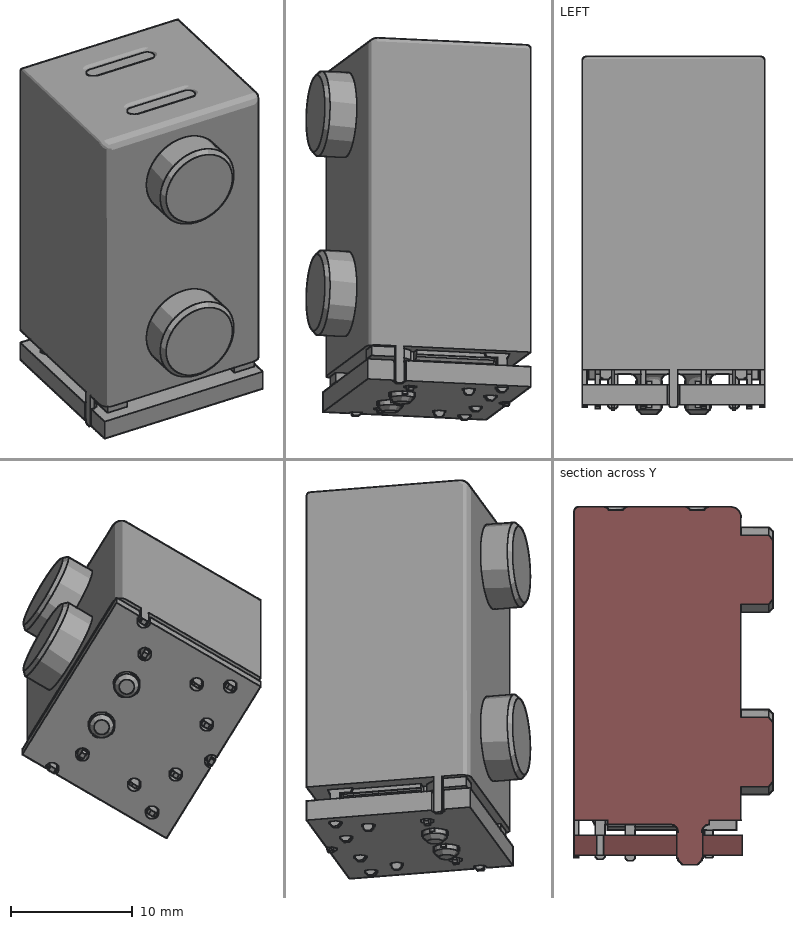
import cadquery as cq
import math

OVERALL_LENGTH = 16.38
OVERALL_HEIGHT = 29.45
WIDTH = 15.05

HOUSING_LENGTH = 13.75
HOUSING_BOTTOM = 3.65
FRONT_FILLET = 0.85
TOP_FILLET = 0.4

BUSHING_DIAMETER = 7.0
BUSHING_CHAMFER = 0.35
UPPER_BUSHING_Z = 24.28
BUSHING_SPACING = 15.0

SLOT_WIDTH = 2.0
SLOT_WALL_WIDTH = 1.1
SLOT_DEPTH = 0.27
SLOT_STRAIGHT = 5.13
SLOT_X_POSITIONS = (3.45, 10.13)

BOARD_LENGTH = 13.85
BOARD_BOTTOM = 0.77
BOARD_THICKNESS = 1.68
NOTCH_DIAMETER = 1.1
NOTCH_INSET = 0.2
PIN_HOLE_DIAMETER = 1.1

LEG_WIDTH = 0.7
LEG_THICKNESS = 0.4
LEG_BOTTOM = 0.55
LEG_CHAMFER = 0.12
SIDE_LEG_X = 11.1

POST_X = 9.55
POST_Y = 2.0
POST_DIAMETER = 2.0
POST_TIP_DIAMETER = 1.25
POST_FLARE_RADIUS = 0.6
RIB_DIAMETER = 2.18
RIB_WIDTH = 0.4
RIB_BOTTOM = 0.53
RIB_TOP = 2.7

BASE_BOTTOM = 3.3
BASE_X_START = 2.75
BASE_X_END = 11.15
BASE_WIDTH = 9.72
RAIL_BOTTOM = 2.85
RAIL_X_END = 9.35
RAIL_Y_INNER = 5.1
RAIL_Y_OUTER = 6.05
RAIL_CHAMFER = 0.27
LEDGE_Y_OUTER = 6.15
FOOT_X_START = 9.75
FOOT_X_END = 13.37
FOOT_Y_OUTER = 6.98
FOOT_CHAMFER = 1.15

PIN_WIDTH = 0.82
PIN_THICKNESS = 0.4
THIN_PIN_THICKNESS = 0.25
PIN_BOTTOM = 0.45
LONG_PIN_BOTTOM = 0.32
PIN_TAPER = 0.2
REAR_PIN_X = 2.15
OUTER_PIN_Y = 6.25
INNER_PIN_Y = 2.47
MIDDLE_PIN_X = 4.63
FRONT_PIN_X = 9.6
SIDE_PIN_Y = 4.98
SHOULDER_X_START = 1.53
SHOULDER_X_END = 3.62
SHOULDER_STEP = 0.15

SIDES = (-1, 1)
BOARD_TOP = BOARD_BOTTOM + BOARD_THICKNESS
PIN_POINTS = [
    (x, side * y)
    for side in SIDES
    for x, y in (
        (REAR_PIN_X, OUTER_PIN_Y),
        (REAR_PIN_X, INNER_PIN_Y),
        (MIDDLE_PIN_X, SIDE_PIN_Y),
        (FRONT_PIN_X, SIDE_PIN_Y),
    )
]
POST_POINTS = [(POST_X, side * POST_Y) for side in SIDES]
NOTCH_POINTS = [(NOTCH_INSET, 0)] + [(SIDE_LEG_X, side * (WIDTH / 2 - NOTCH_INSET)) for side in SIDES]


def block(x_range, y_range, z_range):
    """Axis-aligned box given by its limits along X, Y and Z."""
    (x0, x1), (y0, y1), (z0, z1) = x_range, y_range, z_range
    return cq.Workplane("XY").box(x1 - x0, y1 - y0, z1 - z0, centered=False).translate((x0, y0, z0))


def make_shell():
    """Main block: large rounds around the front face, small rounds on the other top edges."""
    half = WIDTH / 2
    shell = block((0, HOUSING_LENGTH), (-half, half), (HOUSING_BOTTOM, OVERALL_HEIGHT))
    shell = shell.faces(">X").edges("not <Z").fillet(FRONT_FILLET)
    return shell.faces(">Z").edges("not >X").fillet(TOP_FILLET)


def make_bushing(z):
    """Cylinder on the front face with a chamfered rim."""
    return (
        cq.Workplane("YZ", origin=(HOUSING_LENGTH, 0, z))
        .circle(BUSHING_DIAMETER / 2)
        .extrude(OVERALL_LENGTH - HOUSING_LENGTH)
        .faces(">X")
        .chamfer(BUSHING_CHAMFER)
    )


def slot_half_section():
    """Half of the slot section: flat floor and a wall that rounds over convexly into the top face."""
    rim = SLOT_WIDTH / 2
    radius = (SLOT_WIDTH - SLOT_WALL_WIDTH) / 2
    wall_angle = math.acos((radius - SLOT_DEPTH) / radius)
    floor = rim - radius * math.sin(wall_angle)
    wall_middle = (
        rim - radius * math.sin(wall_angle / 2),
        -radius * (1 - math.cos(wall_angle / 2)),
    )
    return (
        cq.Workplane("XZ")
        .moveTo(0, -SLOT_DEPTH)
        .lineTo(floor, -SLOT_DEPTH)
        .threePointArc(wall_middle, (rim, 0))
        .lineTo(0, 0)
        .close()
    )


def make_slot_cutter(x):
    """Shallow slot along Y with round ends."""
    half_channel = slot_half_section().extrude(SLOT_STRAIGHT / 2, both=True)
    round_end = slot_half_section().revolve(360, (0, 0), (0, 1))
    cutter = half_channel.union(half_channel.mirror("YZ"))
    for side in SIDES:
        cutter = cutter.union(round_end.translate((0, side * SLOT_STRAIGHT / 2, 0)))
    return cutter.translate((x, 0, OVERALL_HEIGHT))


def make_leg():
    """Leg standing against the plane X = 0, with its two lower corners cut off."""
    leg = block((0, LEG_THICKNESS), (-LEG_WIDTH / 2, LEG_WIDTH / 2), (LEG_BOTTOM, HOUSING_BOTTOM))
    return leg.faces("<Z").edges("|X").chamfer(LEG_CHAMFER)


def make_legs():
    """One leg on the rear face and one on each side face."""
    legs = make_leg()
    for side in SIDES:
        turned = make_leg().rotate((0, 0, 0), (0, 0, 1), -90 * side)
        legs = legs.union(turned.translate((SIDE_LEG_X, side * WIDTH / 2, 0)))
    return legs


def make_post(x, y):
    """Round post with a conical tip, a flared root and four crush ribs."""
    radius = POST_DIAMETER / 2
    tip_radius = POST_TIP_DIAMETER / 2
    flare = POST_FLARE_RADIUS
    flare_mid = flare * (1 - math.sqrt(0.5))
    post = (
        cq.Workplane("XZ")
        .lineTo(tip_radius, 0)
        .lineTo(radius, radius - tip_radius)
        .lineTo(radius, BASE_BOTTOM - flare)
        .threePointArc((radius + flare_mid, BASE_BOTTOM - flare_mid), (radius + flare, BASE_BOTTOM))
        .lineTo(0, BASE_BOTTOM)
        .close()
        .revolve(360, (0, 0), (0, 1))
    )
    rib_base = cq.Workplane("XY", origin=(0, 0, RIB_BOTTOM))
    rib_zone = rib_base.circle(RIB_DIAMETER / 2).extrude(RIB_TOP - RIB_BOTTOM)
    cross = rib_base.rect(RIB_DIAMETER, RIB_WIDTH).extrude(RIB_TOP - RIB_BOTTOM)
    cross = cross.union(cross.rotate((0, 0, 0), (0, 0, 1), 90))
    return post.union(rib_zone.intersect(cross)).translate((x, y, 0))


def make_support():
    """Rail, the ledge it hangs from and the foot in front of it, on the +Y side."""
    rail = block((BASE_X_START, RAIL_X_END), (RAIL_Y_INNER, RAIL_Y_OUTER), (RAIL_BOTTOM, HOUSING_BOTTOM))
    rail = rail.faces("<Z").edges("|X").chamfer(RAIL_CHAMFER)
    ledge = block((BASE_X_START, RAIL_X_END), (RAIL_Y_INNER, LEDGE_Y_OUTER), (BASE_BOTTOM, HOUSING_BOTTOM))
    foot = block((FOOT_X_START, FOOT_X_END), (RAIL_Y_INNER, FOOT_Y_OUTER), (RAIL_BOTTOM, HOUSING_BOTTOM))
    foot = foot.edges("|Z and <X and >Y").chamfer(FOOT_CHAMFER)
    return rail.union(ledge).union(foot)


def make_base():
    """Plate under the housing, with a rail and a front foot along each side."""
    base = block((BASE_X_START, BASE_X_END), (-BASE_WIDTH / 2, BASE_WIDTH / 2), (BASE_BOTTOM, HOUSING_BOTTOM))
    support = make_support()
    return base.union(support).union(support.mirror("XZ"))


def make_pin(x, y, thickness, bottom, turn=0):
    """Flat pin, wide along X before the turn about Z, with its tip tapered in width."""
    pin = (
        cq.Workplane("XY")
        .box(PIN_WIDTH, thickness, HOUSING_BOTTOM - bottom, centered=(True, True, False))
        .faces("<Z")
        .edges("|Y")
        .chamfer(PIN_TAPER)
    )
    return pin.rotate((0, 0, 0), (0, 0, 1), turn).translate((x, y, bottom))


def make_shoulder(y):
    """Wider root of an outer rear pin, tapering down toward the pin."""
    return (
        cq.Workplane("XZ", origin=(0, y + PIN_THICKNESS / 2, 0))
        .moveTo(SHOULDER_X_START, HOUSING_BOTTOM)
        .lineTo(SHOULDER_X_START + SHOULDER_STEP, BASE_BOTTOM)
        .lineTo(SHOULDER_X_END - SHOULDER_STEP, BASE_BOTTOM)
        .lineTo(SHOULDER_X_END, HOUSING_BOTTOM)
        .close()
        .extrude(PIN_THICKNESS)
    )


def make_side_pins(side):
    """All contact pins on one side of the mid-plane."""
    outer_y = side * OUTER_PIN_Y
    side_y = side * SIDE_PIN_Y
    pins = make_pin(REAR_PIN_X, outer_y, PIN_THICKNESS, PIN_BOTTOM).union(make_shoulder(outer_y))
    pins = pins.union(make_pin(REAR_PIN_X, side * INNER_PIN_Y, PIN_THICKNESS, PIN_BOTTOM))
    pins = pins.union(make_pin(MIDDLE_PIN_X, side_y, THIN_PIN_THICKNESS, LONG_PIN_BOTTOM))
    return pins.union(make_pin(FRONT_PIN_X, side_y, PIN_THICKNESS, PIN_BOTTOM, turn=90))


def make_housing():
    """Jack housing with its bushings, label slots, legs, posts and pins."""
    body = make_shell()
    for z in (UPPER_BUSHING_Z, UPPER_BUSHING_Z - BUSHING_SPACING):
        body = body.union(make_bushing(z))
    for x in SLOT_X_POSITIONS:
        body = body.cut(make_slot_cutter(x))
    body = body.union(make_base()).union(make_legs())
    for x, y in POST_POINTS:
        body = body.union(make_post(x, y))
    for side in SIDES:
        body = body.union(make_side_pins(side))
    return body


def make_board():
    """Circuit board with edge notches for the legs and holes for the posts and pins."""
    half = WIDTH / 2
    board = block((0, BOARD_LENGTH), (-half, half), (BOARD_BOTTOM, BOARD_TOP))
    for points, diameter in (
        (NOTCH_POINTS, NOTCH_DIAMETER),
        (POST_POINTS, RIB_DIAMETER),
        (PIN_POINTS, PIN_HOLE_DIAMETER),
    ):
        cutter = cq.Workplane("XY", origin=(0, 0, BOARD_BOTTOM)).pushPoints(points)
        board = board.cut(cutter.circle(diameter / 2).extrude(BOARD_THICKNESS))
    return board


housing = make_housing()
board = make_board()
result = cq.Compound.makeCompound([housing.val(), board.val()])